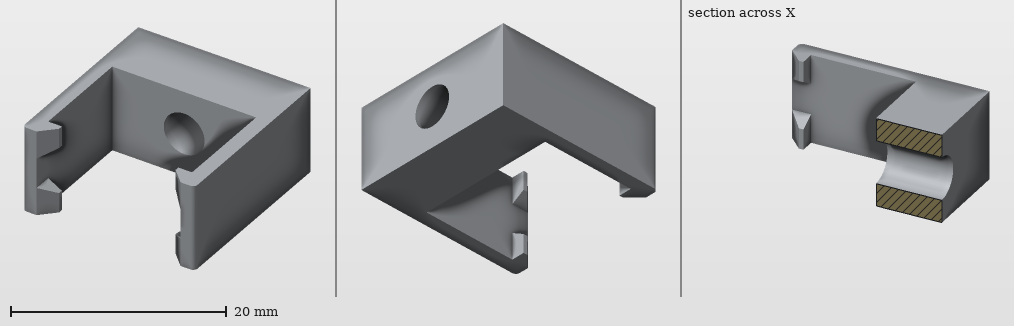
import cadquery as cq
import math

width = 19.0
depth = 19.9
height = 9.3

base_depth = 6.9
arm_thickness = 1.57
outer_corner_radius = 0.5
bore_diameter = 4.5

hook_length = 1.99
hook_reach = 1.51
hook_lip = 0.48

notch_root_height = 3.26
notch_flank_angle = 30.0

front_y = -depth / 2
base_front_y = depth / 2 - base_depth
hook_back_y = front_y + hook_length
arm_inner_x = width / 2 - arm_thickness
hook_tip_x = arm_inner_x - hook_reach


def clip_body():
    """U-shaped bracket with rounded outer corners at the arm ends."""
    body = cq.Workplane("XY").box(width, depth, height)
    body = body.edges("|Z and <Y").fillet(outer_corner_radius)
    opening = cq.Workplane("XY").box(2 * arm_inner_x, depth, height)
    return body.cut(opening.translate((0, base_front_y - depth / 2, 0)))


def right_hook():
    """Hook on the +X arm, with a lead-in slope and a tapered notch at mid height."""
    hook = (
        cq.Workplane("XY")
        .workplane(offset=-height / 2)
        .moveTo(arm_inner_x, front_y)
        .lineTo(arm_inner_x, hook_back_y)
        .lineTo(hook_tip_x, hook_back_y)
        .lineTo(hook_tip_x, hook_back_y - hook_lip)
        .close()
        .extrude(height)
    )
    root_half = notch_root_height / 2
    tip_half = root_half + hook_reach * math.tan(math.radians(notch_flank_angle))
    notch = (
        cq.Workplane("XZ", origin=(0, hook_back_y, 0))
        .moveTo(arm_inner_x, -root_half)
        .lineTo(arm_inner_x, root_half)
        .lineTo(hook_tip_x, tip_half)
        .lineTo(hook_tip_x, -tip_half)
        .close()
        .extrude(hook_length)
    )
    return hook.cut(notch)


def base_bore():
    """Round hole through the base block along Y."""
    return (
        cq.Workplane("XZ", origin=(0, depth / 2, 0))
        .circle(bore_diameter / 2)
        .extrude(base_depth)
    )


hook = right_hook()
result = clip_body().union(hook).union(hook.mirror("YZ")).cut(base_bore())